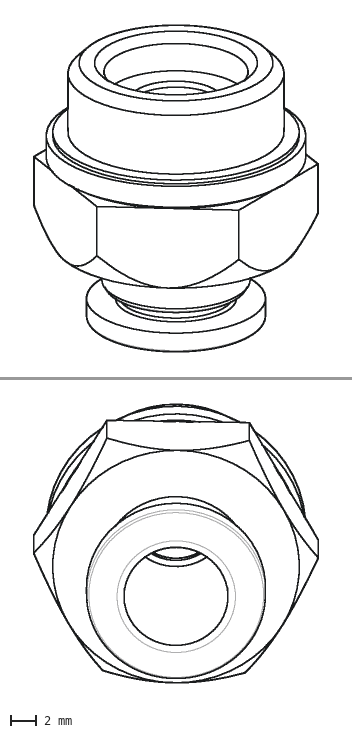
import cadquery as cq
import math

disc_edge_z = 0.42
disc_top_z = 2.02
collar_bottom_z = 3.1
collar_step_z = 3.55
hex_bottom_z = 6.9
hex_top_z = 13.55
flange_top_z = 15.93
top_z = 21.7

disc_d = 13.8
disc_face_d = 9.13
neck_d = 8.8
collar_d = 11.43
collar_tip_d = 11.0
hex_corner_d = 21.95
hex_flat_d = hex_corner_d * math.cos(math.radians(30))
flange_d = 20.0
spigot_d = 16.65

disc_edge_round = 0.2
neck_flare = 0.26
neck_flare_height = 0.2
collar_tip_round = 0.15
flange_lip = 0.3
spigot_chamfer = 0.85
hex_chamfer_angle = 60.0

tube_bore_d = 8.0
through_d = 7.0
counterbore_d = 11.1
counterbore_depth = 3.0
counterbore_chamfer = 0.72
web_thickness = 0.5


def cylinder(diameter, bottom, top):
    return cq.Workplane("XY").workplane(offset=bottom).circle(diameter / 2).extrude(top - bottom)


def revolve_profile(points):
    """Turn a closed (radius, height) outline around the Z axis."""
    return cq.Workplane("XZ").polyline(points).close().revolve(360, (0, 0), (0, 1))


def release_button():
    """Disc with a coned lower face and a neck flaring into its top."""
    disc = revolve_profile([
        (0, 0),
        (disc_face_d / 2, 0),
        (disc_d / 2, disc_edge_z),
        (disc_d / 2, disc_top_z),
        (0, disc_top_z),
    ])
    select_margin = 0.02
    rim = cq.selectors.BoxSelector(
        (-disc_d, -disc_d, disc_edge_z - select_margin),
        (disc_d, disc_d, disc_edge_z + select_margin),
        boundingbox=True,
    )
    disc = disc.edges(rim).fillet(disc_edge_round)
    neck = revolve_profile([
        (0, disc_top_z),
        (neck_d / 2 + neck_flare, disc_top_z),
        (neck_d / 2, disc_top_z + neck_flare_height),
        (neck_d / 2, collar_bottom_z),
        (0, collar_bottom_z),
    ])
    return disc.union(neck)


def collar():
    tip = cylinder(collar_tip_d, collar_bottom_z, collar_step_z).faces("<Z").edges().fillet(collar_tip_round)
    return tip.union(cylinder(collar_d, collar_step_z, hex_bottom_z))


def hex_nut():
    """Hexagon with corners on Y, its lower corners turned off by a steep cone."""
    height = hex_top_z - hex_bottom_z
    prism = (
        cq.Workplane("XY")
        .workplane(offset=hex_bottom_z)
        .polygon(6, hex_corner_d)
        .extrude(height)
        .rotate((0, 0, 0), (0, 0, 1), 90)
    )
    spread = height / math.tan(math.radians(hex_chamfer_angle))
    cone = revolve_profile([
        (0, hex_bottom_z),
        (hex_flat_d / 2, hex_bottom_z),
        (hex_flat_d / 2 + spread, hex_top_z),
        (0, hex_top_z),
    ])
    return prism.intersect(cone)


def flange():
    """Sealing ring held between two thin shoulders as wide as the hexagon flats."""
    shoulders = cylinder(hex_flat_d, hex_top_z, flange_top_z)
    return shoulders.union(cylinder(flange_d, hex_top_z + flange_lip, flange_top_z - flange_lip))


def spigot():
    return cylinder(spigot_d, flange_top_z, top_z).faces(">Z").edges().chamfer(spigot_chamfer)


def bore():
    """Tube bore from below, a narrower web, and a chamfered counterbore on top."""
    floor_z = top_z - counterbore_depth
    return revolve_profile([
        (0, 0),
        (tube_bore_d / 2, 0),
        (tube_bore_d / 2, floor_z - web_thickness),
        (through_d / 2, floor_z - web_thickness),
        (through_d / 2, floor_z),
        (counterbore_d / 2, floor_z),
        (counterbore_d / 2, top_z - counterbore_chamfer),
        (counterbore_d / 2 + counterbore_chamfer, top_z),
        (0, top_z),
    ])


body = release_button().union(collar()).union(hex_nut()).union(flange()).union(spigot())
result = body.cut(bore())